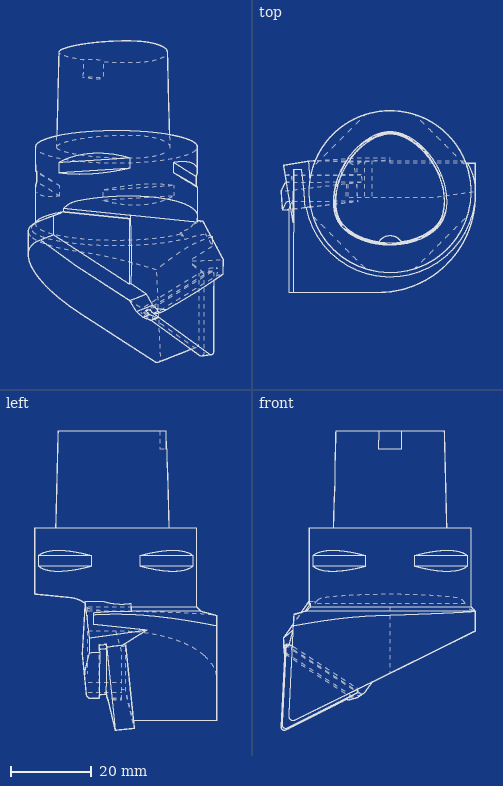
import cadquery as cq
import math

flange_radius = 40.0 / 2
flange_bottom = -19.45
shank_height = 24.0
shank_base_radius = 28.05 / 2
shank_top_radius = 26.85 / 2
lobe_height = 0.8
outline_points = 36
notch_radius = 3.25
notch_depth = 4.45
notch_center_y = -14.1

groove_z = -8.15
groove_floor_radius = 17.75
groove_floor_height = 2.6
groove_mouth_height = 5.2
groove_count = 4

overall_depth = 45.0
head_front = flange_radius - overall_depth
head_right = 21.1
head_back = 7.0
finger_back = 5.5
shoulder_radius = 21.1
shoulder_z = -20.6
shoulder_slope = math.tan(math.radians(15))
corner_radius = 24.05
left_top_x = -23.7
left_bottom_x = -25.1
head_bottom = -48.25
head_corner_fillet = 1.0
right_bottom = -25.45
block_top = -18.2
block_back = 7.55
block_left = -20.1
span = 88.8
slope_normal = (-1.43, -0.1, 1.0)

insert_side = 22.0
insert_thickness = 4.7
insert_nose_radius = 0.8
tip = (-27.0, 0.0, -50.55)
rake_normal = (-0.07, 1.0, -0.1)
edge_direction = (0.05, 0.1035, 1.0)
clearance = 5.9
wall_depth = 1.85
overhang = 1.5
relief_radius = 0.95


def lobed_outline(mean_radius):
    """Three-lobed curve of constant width, with one lobe on +Y."""
    points = []
    for i in range(outline_points):
        angle = 2 * math.pi * i / outline_points
        phase = 3 * (angle - math.pi / 2)
        reach = mean_radius + lobe_height * math.cos(phase)
        shift = -3 * lobe_height * math.sin(phase)
        x = reach * math.cos(angle) - shift * math.sin(angle)
        y = reach * math.sin(angle) + shift * math.cos(angle)
        points.append((x, y))
    return points


def make_shank():
    shank = (
        cq.Workplane("XY").spline(lobed_outline(shank_base_radius), periodic=True).close()
        .workplane(offset=shank_height)
        .spline(lobed_outline(shank_top_radius), periodic=True).close()
        .loft()
    )
    notch = (
        cq.Workplane("XY", origin=(0, notch_center_y, shank_height - notch_depth))
        .circle(notch_radius).extrude(notch_depth)
    )
    return shank.cut(notch)


def make_groove(angle):
    """Straight groove with sloping walls, cut across the flange rim."""
    depth = flange_radius - groove_floor_radius
    groove = (
        cq.Workplane("XZ", origin=(0, span / 2, groove_z))
        .moveTo(groove_floor_radius, -groove_floor_height / 2)
        .lineTo(groove_floor_radius + depth, -groove_mouth_height / 2)
        .lineTo(groove_floor_radius + depth, groove_mouth_height / 2)
        .lineTo(groove_floor_radius, groove_floor_height / 2)
        .close().extrude(span)
    )
    return groove.rotate((0, 0, 0), (0, 0, 1), angle)


def make_flange():
    flange = cq.Workplane("XY").circle(flange_radius).extrude(flange_bottom)
    for i in range(groove_count):
        flange = flange.cut(make_groove(45 + i * 360 / groove_count))
    rear_cut = (
        cq.Workplane("YZ", origin=(-span / 2, 0, 0))
        .moveTo(flange_radius, -16.35)
        .lineTo(11.1, -17.25)
        .threePointArc((9.1, -17.75), (block_back, -18.65))
        .lineTo(block_back, flange_bottom).lineTo(flange_radius, flange_bottom)
        .close().extrude(span)
    )
    return flange.cut(rear_cut)


def make_head():
    """Head with a conical top, a sloping bottom and one rounded corner."""
    arc_x = head_right - corner_radius
    arc_y = head_front + corner_radius
    reach = corner_radius * math.sqrt(0.5)
    plan = (
        cq.Workplane("XY", origin=(0, 0, head_bottom))
        .moveTo(left_bottom_x, head_front)
        .lineTo(arc_x, head_front)
        .threePointArc((arc_x + reach, arc_y - reach), (head_right, arc_y))
        .lineTo(head_right, head_back)
        .lineTo(0, head_back)
        .lineTo(0, finger_back)
        .lineTo(left_bottom_x, finger_back)
        .close().extrude(-head_bottom)
    )
    side = (
        cq.Workplane("XZ", origin=(0, span / 2, 0))
        .polyline([
            (left_top_x, flange_bottom), (left_bottom_x, head_bottom),
            (head_right, right_bottom), (head_right, flange_bottom),
        ])
        .close().extrude(span)
        .edges("|Y").edges("<Z").fillet(head_corner_fillet)
    )
    cone_bottom = shoulder_z - (span - shoulder_radius) * shoulder_slope
    cone = (
        cq.Workplane("XZ")
        .polyline([
            (0, flange_bottom), (flange_radius, flange_bottom),
            (shoulder_radius, shoulder_z), (span, cone_bottom),
            (span, -span), (0, -span),
        ])
        .close().revolve(360, (0, 0, 0), (0, 1, 0))
    )
    return plan.intersect(side).intersect(cone)


def make_seat_block():
    """Block behind the insert that walls its upper side."""
    face = (
        cq.Workplane("XZ", origin=(0, span / 2, 0))
        .polyline([
            (block_left, block_top), (-26.35, -27.0), (-26.2, -32.2), (-10.35, -42.55),
            (-8.15, -41.95), (-6.3, -40.7), (-4.45, -38.1), (head_right, right_bottom),
            (head_right, shoulder_z), (14.8, block_top),
        ])
        .close().extrude(span)
    )
    depth = (
        cq.Workplane("YZ", origin=(-span / 2, 0, 0))
        .polyline([
            (block_back, block_top), (8.3, -31.1), (7.25, -41.45), (6.15, -42.55), (-1.5, -42.55),
            (-1.5, -29.1), (-8.6, -24.65), (-8.6, block_top),
        ])
        .close().extrude(span)
    )
    plan = (
        cq.Workplane("XY", origin=(0, 0, head_bottom))
        .polyline([
            (-23.8, -8.6), (-26.35, 6.5), (block_left, block_back), (-7.4, 8.3),
            (0, 8.3), (0, head_back), (head_right, head_back), (head_right, 0),
            (0, -2.95), (-14.8, -2.95), (-21.8, -4.1),
        ])
        .close().extrude(-head_bottom)
    )
    slope_plane = cq.Plane(
        origin=(block_left, block_back, block_top), xDir=(0, 1, 0.1), normal=slope_normal
    )
    above_slope = (
        cq.Workplane(slope_plane)
        .rect(span, span).extrude(span)
    )
    return face.intersect(depth).intersect(plan).cut(above_slope)


def rake_workplane():
    """Plane of the rake face: local x runs up the left edge, local y to the right."""
    return cq.Workplane(cq.Plane(origin=tip, xDir=edge_direction, normal=rake_normal))


def make_insert():
    height = insert_side * math.sqrt(3) / 2
    return (
        rake_workplane()
        .polyline([(0, 0), (insert_side, 0), (insert_side / 2, height)])
        .close().extrude(-insert_thickness)
        .edges(cq.selectors.ParallelDirSelector(cq.Vector(*rake_normal)))
        .fillet(insert_nose_radius)
    )


def make_clearance_prism(inset, depth):
    """Space above the rake face; its long wall lies inside the insert's third side by the inset."""
    right_end = insert_side - 2 * inset / math.sqrt(3)
    run = clearance / math.sqrt(3)
    outer_y = right_end * math.sqrt(3) / 2 + clearance
    return (
        rake_workplane()
        .polyline([
            (-clearance, -clearance), (right_end + run, -clearance),
            (right_end / 2 - run, outer_y), (-clearance, outer_y),
        ])
        .close().extrude(depth)
    )


def make_corner_relief():
    """Round relief at the upper corner of the insert seat."""
    return (
        rake_workplane().center(insert_side - insert_nose_radius, insert_nose_radius)
        .circle(relief_radius).extrude(wall_depth)
    )


insert = make_insert()
holder = (
    make_flange()
    .union(make_shank())
    .union(make_head())
    .union(make_seat_block())
    .cut(make_clearance_prism(0, wall_depth))
    .cut(make_clearance_prism(overhang, 2 * insert_thickness))
    .cut(make_corner_relief())
    .cut(insert)
)

result = cq.Compound.makeCompound([holder.val(), insert.val()])